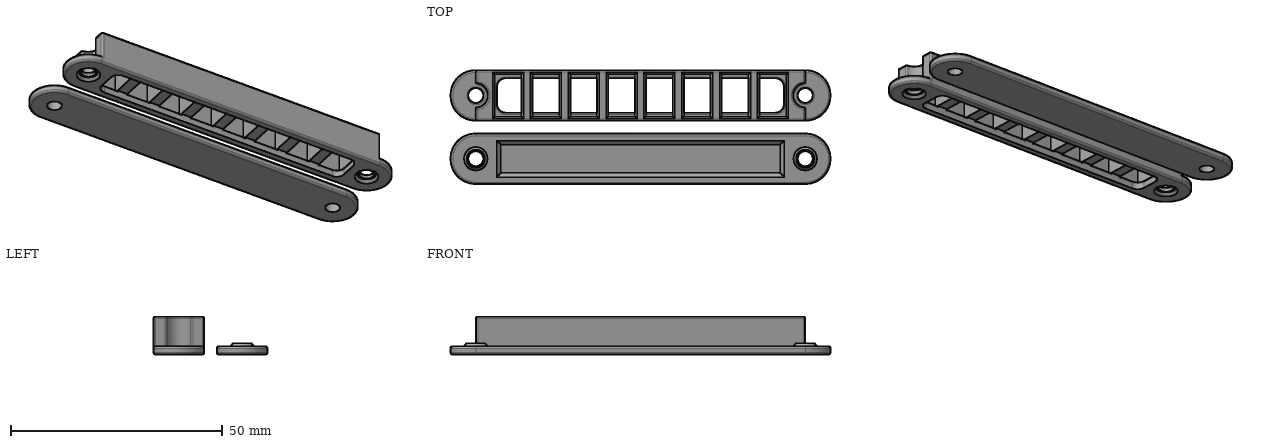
import cadquery as cq
length = 90.0
total_width = 27.0
body_gap = 3.0
body_width = (total_width - body_gap) / 2
end_radius = body_width / 2
hole_x = length / 2 - end_radius
tray_y = (body_gap + body_width) / 2
cover_y = -tray_y
plate_thickness = 2.0
edge_fillet = 0.5
rim_fillet = 0.4
selection_margin = 0.01

hole_diameter = 3.5
boss_height = 0.765
boss_top_diameter = 4.3
boss_base_diameter = 5.6
boss_rim_fillet = 0.3

tray_height = 9.0
block_length = 2 * hole_x
block_bottom = plate_thickness / 2
scallop_radius = 2.9
block_fillet = 0.45
foot_fillet = 0.3

compartment_count = 8
compartment_row_length = 68.9
divider_thickness = 2.7
wall_thickness = 1.0
compartment_pitch = (compartment_row_length + divider_thickness) / compartment_count
compartment_length = compartment_pitch - divider_thickness
compartment_width = body_width - 2 * wall_thickness
compartment_chamfer_x = 0.5
compartment_chamfer_y = 0.45

window_length = 67.9
window_width = 8.1
window_corner_radius = 2.0
recess_length = 68.0
recess_width = 8.6
recess_depth = 1.0
recess_slope = 1.0


def make_plate():
    """Round-ended plate with rounded upper and lower rims, standing on Z = 0."""
    plate = cq.Workplane("XY").slot2D(length, body_width).extrude(plate_thickness)
    return plate.faces("|Z").edges().fillet(edge_fillet)


def at_holes(height):
    """Workplane at the given height with a point at each screw hole."""
    return cq.Workplane("XY").workplane(offset=height).pushPoints([(-hole_x, 0), (hole_x, 0)])


def make_bosses():
    """Solid cones with the boss outline, standing on Z = 0."""
    cone = cq.Solid.makeCone(boss_base_diameter / 2, boss_top_diameter / 2, boss_height)
    return at_holes(0).eachpoint(lambda place: cone.moved(place))


def drill_holes(body, height, fillet_radius):
    """Drill both screw holes up to the given face height and round their upper rims."""
    body = body.cut(at_holes(0).circle(hole_diameter / 2).extrude(height))
    for hole_center in (-hole_x, hole_x):
        rim_zone = cq.selectors.BoxSelector(
            (hole_center - selection_margin, -selection_margin, height - selection_margin),
            (hole_center + selection_margin, selection_margin, height + selection_margin),
        )
        rim = body.edges(rim_zone).edges(cq.selectors.RadiusNthSelector(0))
        body = rim.fillet(fillet_radius)
    return body


def make_block():
    """Block above the flange, with an access scallop over each screw hole."""
    block = cq.Workplane("XY").workplane(offset=block_bottom).rect(block_length, body_width)
    block = block.extrude(tray_height - block_bottom)
    block = block.cut(at_holes(0).circle(scallop_radius).extrude(tray_height))
    return block.edges("|Z or >Z").fillet(block_fillet)


def make_compartment():
    """Volume of one compartment, with a bevelled mouth, centred on X = 0."""
    mouth_length = compartment_length + 2 * compartment_chamfer_x
    mouth_width = compartment_width + 2 * compartment_chamfer_y
    well = cq.Workplane("XY").rect(compartment_length, compartment_width).extrude(tray_height)
    mouth = (
        cq.Workplane("XY")
        .workplane(offset=tray_height - compartment_chamfer_x)
        .rect(compartment_length, compartment_width)
        .workplane(offset=compartment_chamfer_x)
        .rect(mouth_length, mouth_width)
        .loft(ruled=True)
    )
    return well.union(mouth)


def make_window():
    """Volume of the round-cornered window through the tray floor."""
    window = cq.Workplane("XY").rect(window_length, window_width).extrude(plate_thickness)
    return window.edges("|Z").fillet(window_corner_radius)


def make_flange():
    """Tray plate with its window, the upper rim of the window rounded."""
    flange = make_plate().cut(make_window())
    window_rim = flange.faces(">Z").val().innerWires()[0]
    return flange.newObject(window_rim.Edges()).fillet(rim_fillet)


def round_foot(tray):
    """Fill the inner corner where the ends and scallops of the block meet the flange."""
    for side in (-1, 1):
        foot_zone = cq.selectors.BoxSelector(
            (side * (hole_x - scallop_radius), -body_width, plate_thickness - selection_margin),
            (side * (hole_x + selection_margin), body_width, plate_thickness + selection_margin),
        )
        tray = tray.edges(foot_zone).fillet(foot_fillet)
    return tray


def make_tray():
    """Flange and block fused into one tray, with compartments, screw holes and boss sockets."""
    block = make_block().cut(make_window())
    compartment = make_compartment()
    first_x = -compartment_pitch * (compartment_count - 1) / 2
    for index in range(compartment_count):
        block = block.cut(compartment.translate((first_x + index * compartment_pitch, 0, 0)))
    tray = round_foot(make_flange().union(block))
    return drill_holes(tray, plate_thickness, rim_fillet).cut(make_bosses())


def make_cover():
    """Cover plate with a bevelled recess and a conical boss around each hole."""
    cover = make_plate().union(make_bosses().translate((0, 0, plate_thickness)))
    cover = drill_holes(cover, plate_thickness + boss_height, boss_rim_fillet)
    recess = (
        cq.Workplane("XY")
        .workplane(offset=plate_thickness - recess_depth)
        .rect(recess_length - 2 * recess_slope, recess_width - 2 * recess_slope)
        .workplane(offset=recess_depth)
        .rect(recess_length, recess_width)
        .loft()
    )
    return cover.cut(recess)


tray = make_tray().translate((0, tray_y, 0))
cover = make_cover().translate((0, cover_y, 0))

result = cq.Compound.makeCompound([tray.val(), cover.val()])